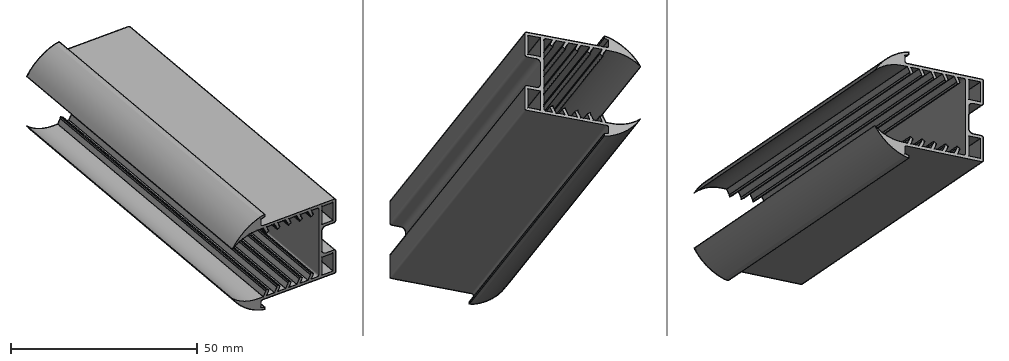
import cadquery as cq
import math

length = 100.0
depth = 33.4
height = 30.7
body_height = 24.0
wall = 0.9
web_back = 4.5
web_thickness = 1.0
flange_corner = 0.5
cell_height = 7.6
cell_corner = 0.7
step_fillet = 1.3
inner_fillet = 0.6

lip_start = 22.9
lip_edge = 0.7
lip_band = 1.3
shoulder = 24.1
crest_drop = 0.2
shoulder_top = 14.3
shoulder_fillet = 0.5
outer_bulge = (30.5, 11.5)
inner_start = 25.0
tip_height = 8.0

rib_count = 5
rib_pitch = 3.6
first_rib = 7.2
rib_corners = [(0.7, 0), (0.3, 0.9), (0, 1.5), (0.9, 2.1), (1.0, 1.5), (1.8, 0)]

crest = height / 2
flange_top = body_height / 2
flange_bottom = flange_top - wall
web_front = web_back + web_thickness
cell_bottom = flange_top - cell_height
rib_root = flange_bottom + wall / 2


def place(distance, z):
    """Profile point from its distance forward of the back face and its height."""
    return depth / 2 - distance, z


def profile(points):
    return cq.Workplane("YZ").polyline([place(*point) for point in points]).close()


def block(start, end, bottom, top):
    """Full-length bar between two distances from the back face."""
    return profile([(start, bottom), (end, bottom), (end, top), (start, top)]).extrude(length)


def hollow_cell():
    outer = block(0, web_front, cell_bottom, flange_top)
    outer = outer.edges("|X").edges(">Z").edges(">Y").fillet(flange_corner)
    outer = outer.edges("|X").edges("<Z").edges(">Y").fillet(cell_corner)
    cavity = block(wall, web_back, cell_bottom + wall, flange_bottom)
    return outer.cut(cavity)


def corner_fillet(corner, forward, upward, radius):
    """Concave fillet in the quadrant pointing away from an inside corner."""
    distance, z = corner
    start, end = sorted((distance, distance + forward * radius))
    bottom, top = sorted((z, z + upward * radius))
    square = block(start, end, bottom, top)
    centre = place(distance + forward * radius, z + upward * radius)
    return square.cut(cq.Workplane("YZ").center(*centre).circle(radius).extrude(length))


def curved_lip():
    run = depth - inner_start
    drop = flange_bottom - tip_height
    radius = (run**2 + drop**2) / (2 * drop)
    half_angle = math.atan2(drop, run)
    inner_middle = place(
        inner_start + radius * math.sin(half_angle),
        flange_bottom - radius * (1 - math.cos(half_angle)),
    )
    return (
        cq.Workplane("YZ")
        .moveTo(*place(inner_start, flange_bottom))
        .lineTo(*place(shoulder, flange_bottom))
        .lineTo(*place(shoulder, shoulder_top))
        .lineTo(*place(lip_start, crest - lip_edge))
        .lineTo(*place(lip_start, crest))
        .lineTo(*place(lip_start + lip_band, crest - crest_drop))
        .threePointArc(place(*outer_bulge), place(depth, tip_height))
        .threePointArc(inner_middle, place(inner_start, flange_bottom))
        .close()
        .extrude(length)
    )


def rib(start):
    corners = [(start + forward, flange_bottom - drop) for forward, drop in rib_corners]
    root = [(corners[-1][0], rib_root), (corners[0][0], rib_root)]
    return profile(corners + root).extrude(length)


upper = block(web_back, shoulder, flange_bottom, flange_top)
upper = upper.union(hollow_cell())
upper = upper.union(block(web_back, web_front, 0, flange_top))
upper = upper.union(curved_lip())
upper = upper.union(corner_fillet((web_back, cell_bottom), -1, -1, step_fillet))
upper = upper.union(corner_fillet((web_front, flange_bottom), 1, -1, inner_fillet))
upper = upper.union(corner_fillet((shoulder, flange_top), -1, 1, shoulder_fillet))
for index in range(rib_count):
    upper = upper.union(rib(first_rib + index * rib_pitch))

result = upper.union(upper.mirror("XY")).translate((-length / 2, 0, 0))